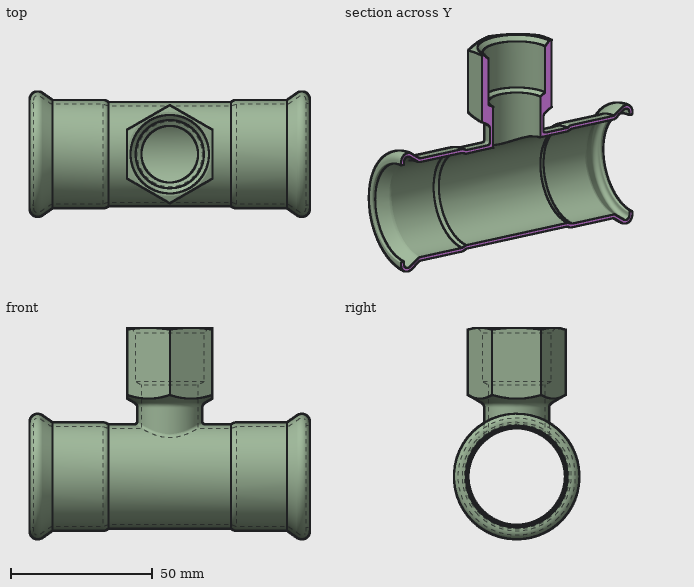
import cadquery as cq
import math

total_length = 99.0
tube_outer_radius = 37.0 / 2
tube_inner_radius = 34.0 / 2

socket_outer_radius = 38.4 / 2
socket_inner_radius = 35.3 / 2
mouth_radius = 35.9 / 2
socket_shoulder_depth = 26.0
shoulder_length = 1.8

groove_wall = 1.5
lip_fillet = 0.5
groove_foot_fillet = 1.5

bead_outer_radius = 44.4 / 2
bead_round = 2.9
bead_cone_angle = math.radians(35)

branch_top = 52.5
neck_outer_radius = 23.0 / 2
neck_inner_radius = 20.0 / 2
neck_top_fillet = 2.0
neck_root_fillet = 0.9

hex_sides = 6
hex_across_flats = 30.0
hex_corner_radius = hex_across_flats / math.sqrt(3)
hex_corner_base = 28.8
hex_base_angle = math.radians(30)
hex_top_angle = math.radians(15)
hex_face_radius = 14.9
thread_radius = 24.12 / 2
thread_mouth_radius = 27.7 / 2
thread_mouth_angle = math.radians(45)
thread_depth = 19.0
seat_angle = math.radians(30)

half_length = total_length / 2
groove_round = bead_round - groove_wall
bead_axis_radius = bead_outer_radius - bead_round
bead_centre = half_length - bead_round


def bead_point(radius, angle):
    """Point on a bead arc; the angle is measured from the outward radial towards the end face."""
    return (
        bead_centre + radius * math.sin(angle),
        bead_axis_radius + radius * math.cos(angle),
    )


def cone_foot(radius, socket_radius):
    """X position where the cone leaving a bead arc comes down to the socket radius."""
    start_x, start_radius = bead_point(radius, -bead_cone_angle)
    return start_x - (start_radius - socket_radius) / math.tan(bead_cone_angle)


shoulder_start = half_length - socket_shoulder_depth
shoulder_end = shoulder_start - shoulder_length
shoulder_drop = socket_outer_radius - tube_outer_radius
shoulder_round = (shoulder_length**2 + shoulder_drop**2) / (2 * shoulder_drop)
shoulder_half_angle = math.atan2(shoulder_drop, shoulder_length)
shoulder_mid = (
    shoulder_start - shoulder_round * math.sin(shoulder_half_angle),
    socket_outer_radius - shoulder_round * (1 - math.cos(shoulder_half_angle)),
)


def run_half_outside():
    """Solid envelope of the +X half of the run."""
    return (
        cq.Workplane("XY")
        .moveTo(0, 0)
        .lineTo(0, tube_outer_radius)
        .lineTo(shoulder_end, tube_outer_radius)
        .threePointArc(shoulder_mid, (shoulder_start, socket_outer_radius))
        .lineTo(cone_foot(bead_round, socket_outer_radius), socket_outer_radius)
        .lineTo(*bead_point(bead_round, -bead_cone_angle))
        .threePointArc(bead_point(bead_round, math.pi / 4), (half_length, bead_axis_radius))
        .lineTo(half_length, 0)
        .close()
        .revolve(360, (0, 0, 0), (1, 0, 0))
    )


def circle_edge_at(x, radius):
    """Selector for the circular edge of the given radius around the run axis at x."""
    margin = 0.01
    reach = radius + margin
    return cq.selectors.BoxSelector(
        (x - margin, -reach, -reach),
        (x + margin, reach, reach),
        boundingbox=True,
    )


def run_half_bore():
    """Bore of the +X half of the run, with the seal groove under the bead."""
    groove_side = bead_centre + groove_round
    groove_foot = cone_foot(groove_round, socket_inner_radius)
    bore = (
        cq.Workplane("XY")
        .moveTo(0, 0)
        .lineTo(0, tube_inner_radius)
        .lineTo(shoulder_end, tube_inner_radius)
        .lineTo(shoulder_start, socket_inner_radius)
        .lineTo(groove_foot, socket_inner_radius)
        .lineTo(*bead_point(groove_round, -bead_cone_angle))
        .threePointArc(bead_point(groove_round, math.pi / 4), (groove_side, bead_axis_radius))
        .lineTo(groove_side, mouth_radius)
        .lineTo(half_length, mouth_radius)
        .lineTo(half_length, 0)
        .close()
        .revolve(360, (0, 0, 0), (1, 0, 0))
    )
    return bore.edges(circle_edge_at(groove_foot, socket_inner_radius)).fillet(groove_foot_fillet)


def both_ends(half):
    """Join a +X half of the run with its mirror image."""
    return half.union(half.mirror("YZ"))


def neck():
    """Round neck rising from the run axis into the hexagonal end."""
    return cq.Workplane("XY").circle(neck_outer_radius).extrude(hex_corner_base)


def hexagonal_end():
    """Hexagonal prism with flats facing +X and -X, coned at both ends and flared from the neck."""
    base_slope = math.tan(hex_base_angle)
    neck_corner = hex_corner_base - (hex_corner_radius - neck_outer_radius) * base_slope
    tangent = neck_top_fillet * math.tan((math.pi / 2 - hex_base_angle) / 2)
    flare_start = (neck_outer_radius, neck_corner - tangent)
    flare_end = (
        neck_outer_radius + tangent * math.cos(hex_base_angle),
        neck_corner + tangent * math.sin(hex_base_angle),
    )
    corner_drop = (hex_corner_radius - hex_face_radius) * math.tan(hex_top_angle)
    flare_centre_radius = neck_outer_radius + neck_top_fillet
    flare_mid_angle = (math.pi / 2 - hex_base_angle) / 2
    flare_mid = (
        flare_centre_radius - neck_top_fillet * math.cos(flare_mid_angle),
        flare_start[1] + neck_top_fillet * math.sin(flare_mid_angle),
    )
    envelope = (
        cq.Workplane("XZ")
        .moveTo(0, flare_start[1])
        .lineTo(*flare_start)
        .threePointArc(flare_mid, flare_end)
        .lineTo(hex_corner_radius, hex_corner_base)
        .lineTo(hex_corner_radius, branch_top - corner_drop)
        .lineTo(hex_face_radius, branch_top)
        .lineTo(0, branch_top)
        .close()
        .revolve(360, (0, 0, 0), (0, 1, 0))
    )
    prism = (
        cq.Workplane("XY")
        .polygon(hex_sides, 2 * hex_corner_radius)
        .extrude(branch_top)
        .rotate((0, 0, 0), (0, 0, 1), 180 / hex_sides)
    )
    return prism.intersect(envelope)


def branch_bore():
    """Bore of the branch: neck hole, conical seat, thread core and mouth chamfer."""
    seat_top = branch_top - thread_depth
    seat_height = (thread_radius - neck_inner_radius) * math.tan(seat_angle)
    mouth_height = (thread_mouth_radius - thread_radius) * math.tan(thread_mouth_angle)
    return (
        cq.Workplane("XZ")
        .moveTo(0, 0)
        .lineTo(neck_inner_radius, 0)
        .lineTo(neck_inner_radius, seat_top - seat_height)
        .lineTo(thread_radius, seat_top)
        .lineTo(thread_radius, branch_top - mouth_height)
        .lineTo(thread_mouth_radius, branch_top)
        .lineTo(0, branch_top)
        .close()
        .revolve(360, (0, 0, 0), (0, 1, 0))
    )


def neck_root_box():
    """Region that holds only the seam between the neck and the run."""
    margin = 0.5
    reach = neck_outer_radius + margin
    return cq.selectors.BoxSelector(
        (-reach, -reach, tube_inner_radius / 2),
        (reach, reach, tube_outer_radius + margin),
    )


body = both_ends(run_half_outside()).union(neck())
body = body.edges(neck_root_box()).fillet(neck_root_fillet)
body = body.union(hexagonal_end())
body = body.cut(both_ends(run_half_bore())).cut(branch_bore())

for lip_depth in (0, groove_wall):
    for side in (-1, 1):
        rim = circle_edge_at(side * (half_length - lip_depth), mouth_radius)
        body = body.edges(rim).fillet(lip_fillet)

result = body